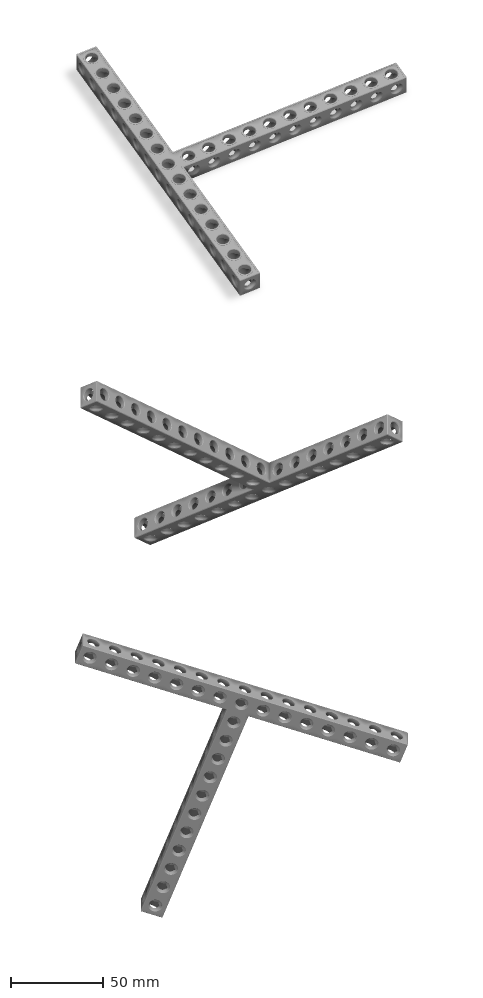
import cadquery as cq

length = 187.5
bar_count = 15
stem_count = 11
hole_diameter = 7.0
rim_diameter = 9.2
edge_chamfer = 0.32
border = 1.1
recess_depth = 0.2

pitch = length / bar_count
half = pitch / 2
depth = (stem_count + 1) * pitch
hole_radius = hole_diameter / 2

bar_stations = [(i - (bar_count - 1) / 2) * pitch for i in range(bar_count)]
stem_stations = [(i + 1) * pitch for i in range(stem_count)]
cube_centers = [(x, 0) for x in bar_stations] + [(0, y) for y in stem_stations]


def tee_outline(z):
    """Closed T outline at height z: crossbar along X, stem toward +Y."""
    corners = [
        (-length / 2, -half),
        (length / 2, -half),
        (length / 2, half),
        (half, half),
        (half, depth - half),
        (-half, depth - half),
        (-half, half),
        (-length / 2, half),
    ]
    return cq.Workplane("XY").workplane(offset=z).polyline(corners).close()


def tee_body():
    """Square-section T with every edge chamfered except the two inner corners."""
    body = tee_outline(-half).extrude(pitch)
    horizontal_edges = "|X or |Y"
    end_corners = "|Z and (<X or >X or >Y)"
    return body.edges(f"({horizontal_edges}) or ({end_corners})").chamfer(edge_chamfer)


def top_recess():
    """Shallow recess in the top face that leaves the border and a ring around each hole."""
    floor = half - recess_depth
    recess = tee_outline(floor).offset2D(-border, "intersection").extrude(recess_depth)
    rings = cq.Workplane("XY").workplane(offset=floor).pushPoints(cube_centers)
    return recess.cut(rings.circle(rim_diameter / 2).extrude(recess_depth))


def hole_cutter(span):
    """Cutter along Z, centred on the origin, for a through hole chamfered at both mouths."""
    end = span / 2
    mouth_radius = hole_radius + edge_chamfer
    profile = [
        (0, -end),
        (mouth_radius, -end),
        (hole_radius, -end + edge_chamfer),
        (hole_radius, end - edge_chamfer),
        (mouth_radius, end),
        (0, end),
    ]
    return cq.Workplane("XZ").polyline(profile).close().revolve(360, (0, 0), (0, 1))


def along_x(cutter):
    return cutter.rotate((0, 0, 0), (0, 1, 0), 90)


def along_y(cutter):
    return cutter.rotate((0, 0, 0), (1, 0, 0), 90)


result = tee_body().cut(top_recess())

short_hole = hole_cutter(pitch)
for x, y in cube_centers:
    result = result.cut(short_hole.translate((x, y, 0)))

middle = bar_count // 2
for x in bar_stations[:middle] + bar_stations[middle + 1:]:
    result = result.cut(along_y(short_hole).translate((x, 0, 0)))
result = result.cut(along_y(hole_cutter(depth)).translate((0, depth / 2 - half, 0)))

for y in stem_stations:
    result = result.cut(along_x(short_hole).translate((0, y, 0)))
result = result.cut(along_x(hole_cutter(length)))